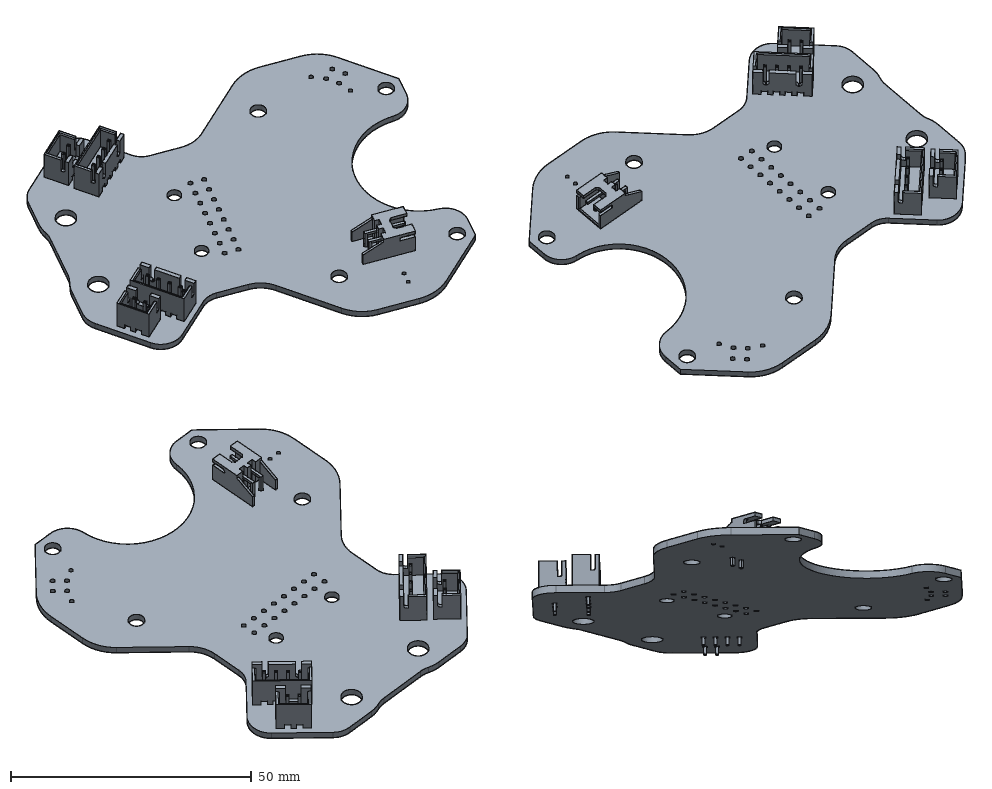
import cadquery as cq
import math

board_length = 84.5
half_length = board_length / 2
half_width = 36.4
board_thickness = 1.6
waist_half_width = 20.6

shoulder_sum = 65.7
upper_waist_difference = 24.5
lower_waist_sum = 4.6
foot_difference = 60.9

shoulder_radius = 10.0
upper_waist_radius = 7.5
lower_radius = 5.0

bay_radius = 13.95
bay_center_y = 38.2
horn_radius = 5.0
horn_middle_angle = 135

relief_depth = 0.85
relief_flat_half = 5.5
relief_bend_half = 7.4
relief_outer_half = 10.1

mount_hole_diameter = 3.5
top_mount_x = 21.8
top_mount_y = 38.8
middle_mount_x = 24.85
middle_mount_y = 11.6
inner_hole_diameter = 3.0
inner_hole_x = 8.4
inner_hole_y = -12.9
foot_hole_diameter = 4.5
foot_hole_x = 10.0
foot_hole_y = -36.3

header_hole_diameter = 1.0
header_columns = 8
header_row_length = 21.0
header_row_spacing = 3.0
header_center_x = 0.1
header_center_y = -7.1

sensor_hole_diameter = 1.0
sensor_ring_radius = 2.1
sensor_center_x = -28.65
sensor_center_y = 30.1
lead_hole_diameter = 0.9
lead_diagonal_offset = 3.2
lead_center_x = -26.95
lead_center_y = 28.4
terminal_hole_diameter = 0.8
terminal_center_x = 29.9
terminal_center_y = 24.6

pin_hole_diameter = 1.0

four_pin_row = 7.5
pin_pitch = four_pin_row / 3
pin_width = 0.64
pin_tip_chamfer = 0.2
pin_tail = 3.4
pin_tip_below_mouth = 0.4

housing_end_margin = 2.45
housing_height = 7.0
pin_to_back = 2.4
pin_to_front = 3.3
floor_thickness = 1.6
front_wall = 0.55
end_wall = 0.8
back_wall = 0.85
cavity_rim_chamfer = 0.25

slot_width = 0.9
slot_depth = 3.4
slot_round = 0.5

key_margin = 2.1
key_depth = 4.0
key_chamfer = 0.5
narrow_key_width = 1.3

groove_width = 1.35
groove_height = 1.0

flat_pin_height = 3.6
flat_center_x = 19.7
flat_mouth_y = 29.0
flat_pin_row_y = 19.8
cheek_end_y = 17.4
cheek_thickness = 0.55
cheek_shoulder_height = 5.2
cheek_end_height = 2.9

four_pin_x = 19.3
four_pin_y = -25.2
two_pin_x = 22.65
two_pin_y = -31.8
connector_angle = 45


def pin_offsets(count):
    """Positions of the pins along their row, centred on zero."""
    return [(i - (count - 1) / 2) * pin_pitch for i in range(count)]


def block(x_min, x_max, y_min, y_max, z_min, z_max):
    """Box between the given limits."""
    return (
        cq.Workplane("XY", origin=(x_min, y_min, z_min))
        .box(x_max - x_min, y_max - y_min, z_max - z_min, centered=False)
    )


def bay_and_horn_cut():
    """Bay opening together with the rounded mouth on either side of it."""
    horn_y = half_length - horn_radius
    centre_distance = bay_radius + horn_radius
    horn_x = math.sqrt(centre_distance**2 - (bay_center_y - horn_y) ** 2)
    touch = bay_radius / centre_distance
    touch_x = horn_x * touch
    touch_y = bay_center_y + (horn_y - bay_center_y) * touch
    middle_angle = math.radians(horn_middle_angle)
    middle_x = horn_x + horn_radius * math.cos(middle_angle)
    middle_y = horn_y + horn_radius * math.sin(middle_angle)
    return (
        cq.Workplane("XY")
        .moveTo(-horn_x, half_length)
        .threePointArc((-middle_x, middle_y), (-touch_x, touch_y))
        .threePointArc((0, bay_center_y - bay_radius), (touch_x, touch_y))
        .threePointArc((middle_x, middle_y), (horn_x, half_length))
        .close()
        .extrude(board_thickness)
    )


def relief_cut():
    """Shallow relief in the -Y edge, whose ends are S-curves of two tangent arcs."""
    turn = 2 * math.atan(relief_depth / (relief_outer_half - relief_flat_half))
    outer_radius = (relief_outer_half - relief_bend_half) / math.sin(turn)
    inner_radius = (relief_bend_half - relief_flat_half) / math.sin(turn)
    relief_y = relief_depth - half_length
    bend_y = outer_radius * (1 - math.cos(turn)) - half_length
    half_turn_x = math.sin(turn / 2)
    half_turn_y = 1 - math.cos(turn / 2)
    lower_x = relief_outer_half - outer_radius * half_turn_x
    lower_y = outer_radius * half_turn_y - half_length
    upper_x = relief_flat_half + inner_radius * half_turn_x
    upper_y = relief_y - inner_radius * half_turn_y
    return (
        cq.Workplane("XY")
        .moveTo(-relief_outer_half, -half_length)
        .threePointArc((-lower_x, lower_y), (-relief_bend_half, bend_y))
        .threePointArc((-upper_x, upper_y), (-relief_flat_half, relief_y))
        .lineTo(relief_flat_half, relief_y)
        .threePointArc((upper_x, upper_y), (relief_bend_half, bend_y))
        .threePointArc((lower_x, lower_y), (relief_outer_half, -half_length))
        .close()
        .extrude(board_thickness)
    )


def rounded_outline():
    """Board blank: straight edges at 0, 45 and 90 degrees with rounded corners."""
    right_side = [
        (foot_difference - half_length, -half_length, lower_radius),
        ((lower_waist_sum + foot_difference) / 2, (lower_waist_sum - foot_difference) / 2, lower_radius),
        (waist_half_width, lower_waist_sum - waist_half_width, lower_radius),
        (waist_half_width, waist_half_width - upper_waist_difference, upper_waist_radius),
        (half_width, half_width - upper_waist_difference, shoulder_radius),
        (half_width, shoulder_sum - half_width, shoulder_radius),
    ]
    right_points = [(x, y) for x, y, _ in right_side]
    right_points.append((shoulder_sum - half_length, half_length))
    left_points = [(-x, y) for x, y in reversed(right_points)]
    blank = cq.Workplane("XY").polyline(right_points + left_points).close().extrude(board_thickness)
    for x, y, radius in right_side:
        for side in (-1, 1):
            corner = cq.selectors.NearestToPointSelector((side * x, y, board_thickness / 2))
            blank = blank.edges("|Z").edges(corner).fillet(radius)
    return blank


def drilled(board, points, diameter):
    """Board with a through hole at each point."""
    drill = cq.Workplane("XY").pushPoints(points).circle(diameter / 2).extrude(board_thickness)
    return board.cut(drill)


def mirrored(x, y):
    """The point and its mirror image across X = 0."""
    return [(-x, y), (x, y)]


def tilted_pin_points(x, y, angle, count):
    """Pin positions of an upright connector turned by the given angle."""
    cosine = math.cos(math.radians(angle))
    sine = math.sin(math.radians(angle))
    return [(x + u * cosine, y + u * sine) for u in pin_offsets(count)]


def make_board(connector_pin_points):
    """Board with its outline, mounting holes, solder holes and connector pin holes."""
    board = rounded_outline().cut(bay_and_horn_cut()).cut(relief_cut())
    mounts = mirrored(top_mount_x, top_mount_y) + mirrored(middle_mount_x, middle_mount_y)
    board = drilled(board, mounts, mount_hole_diameter)
    board = drilled(board, mirrored(inner_hole_x, inner_hole_y), inner_hole_diameter)
    board = drilled(board, mirrored(foot_hole_x, foot_hole_y), foot_hole_diameter)

    column_pitch = header_row_length / (header_columns - 1)
    header = [
        (header_center_x - header_row_length / 2 + column * column_pitch,
         header_center_y + row * header_row_spacing / 2)
        for column in range(header_columns)
        for row in (-1, 1)
    ]
    board = drilled(board, header, header_hole_diameter)

    sensor = [
        (sensor_center_x + dx * sensor_ring_radius, sensor_center_y + dy * sensor_ring_radius)
        for dx, dy in ((1, 0), (0, 1), (-1, 0), (0, -1))
    ]
    board = drilled(board, sensor, sensor_hole_diameter)
    leads = [
        (lead_center_x + side * lead_diagonal_offset, lead_center_y + side * lead_diagonal_offset)
        for side in (-1, 1)
    ]
    board = drilled(board, leads, lead_hole_diameter)
    terminals = [(terminal_center_x + u, terminal_center_y) for u in pin_offsets(2)]
    board = drilled(board, terminals, terminal_hole_diameter)
    return drilled(board, connector_pin_points, pin_hole_diameter)


def make_housing(count, front):
    """Upright housing: pin row along X at Y = 0, keyed back wall toward +Y, base on Z = 0."""
    half = (count - 1) * pin_pitch / 2 + housing_end_margin
    top = housing_height
    wall_inside = pin_to_back - back_wall
    housing = block(-half, half, -front, pin_to_back, 0, top)
    cavity = block(end_wall - half, half - end_wall, front_wall - front, wall_inside, floor_thickness, top)
    housing = housing.cut(cavity)

    mouth_edges = cq.selectors.BoxSelector(
        (end_wall / 2 - half, front_wall / 2 - front, top - floor_thickness),
        (half - end_wall / 2, wall_inside - floor_thickness, top + floor_thickness),
    )
    housing = housing.faces(">Z").edges(mouth_edges).chamfer(cavity_rim_chamfer)

    slot = block(-half, half, wall_inside - slot_width, wall_inside, top - slot_depth, top)
    housing = housing.cut(slot.edges("|X and >Y and <Z").fillet(slot_round))

    opening_half = half - key_margin
    openings = [(-opening_half, opening_half)]
    if count > 2:
        openings = [
            (-opening_half, narrow_key_width - opening_half),
            (opening_half - narrow_key_width, opening_half),
        ]
    for left, right in openings:
        opening = block(left, right, wall_inside, pin_to_back, top - key_depth, top)
        housing = housing.cut(opening.edges("|Y and <Z").chamfer(key_chamfer))

    for x in pin_offsets(count):
        groove = block(x - groove_width / 2, x + groove_width / 2, -front, pin_to_back, 0, groove_height)
        housing = housing.cut(groove)
    return housing


def make_upright_connector(count, x, y, angle):
    """Housing standing on the board with straight pins through it."""
    connector = make_housing(count, pin_to_front)
    pin_half = pin_width / 2
    for u in pin_offsets(count):
        pin = block(
            u - pin_half, u + pin_half, -pin_half, pin_half, -pin_tail, housing_height - pin_tip_below_mouth
        )
        connector = connector.union(pin.faces("<Z or >Z").chamfer(pin_tip_chamfer))
    return connector.rotate((0, 0, 0), (0, 0, 1), angle).translate((x, y, board_thickness))


def make_flat_connector():
    """Two-pin housing lying on the board, mouth toward +Y, with cheeks and bent pins."""
    housing = make_housing(2, flat_pin_height)
    housing = housing.rotate((0, 0, 0), (1, 0, 0), -90).rotate((0, 0, 0), (0, 1, 0), 180)
    floor_y = flat_mouth_y - housing_height
    connector = housing.translate((flat_center_x, floor_y, flat_pin_height))

    half = pin_pitch / 2 + housing_end_margin
    cheek_profile = [
        (floor_y, 0),
        (floor_y, cheek_shoulder_height),
        (cheek_end_y, cheek_end_height),
        (cheek_end_y, 0),
    ]
    for left in (flat_center_x - half, flat_center_x + half - cheek_thickness):
        cheek = cq.Workplane("YZ", origin=(left, 0, 0)).polyline(cheek_profile).close().extrude(cheek_thickness)
        connector = connector.union(cheek)

    pin_half = pin_width / 2
    for u in pin_offsets(2):
        left = flat_center_x + u - pin_half
        right = left + pin_width
        tip_y = flat_mouth_y - pin_tip_below_mouth
        bend_y = flat_pin_row_y - pin_half
        contact = block(left, right, bend_y, tip_y, flat_pin_height - pin_half, flat_pin_height + pin_half)
        tail = block(left, right, bend_y, bend_y + pin_width, -pin_tail, flat_pin_height)
        connector = connector.union(contact.faces(">Y").chamfer(pin_tip_chamfer))
        connector = connector.union(tail.faces("<Z").chamfer(pin_tip_chamfer))
    return connector.translate((0, 0, board_thickness))


upright_places = []
for side in (-1, 1):
    upright_places.append((4, side * four_pin_x, four_pin_y, side * connector_angle))
    upright_places.append((2, side * two_pin_x, two_pin_y, side * connector_angle))

pin_points = [(flat_center_x + u, flat_pin_row_y) for u in pin_offsets(2)]
for count, x, y, angle in upright_places:
    pin_points += tilted_pin_points(x, y, angle, count)

board = make_board(pin_points)
upright_connectors = [make_upright_connector(*place) for place in upright_places]
flat_connector = make_flat_connector()

result = cq.Compound.makeCompound(
    [board.val(), flat_connector.val(), *[connector.val() for connector in upright_connectors]]
)